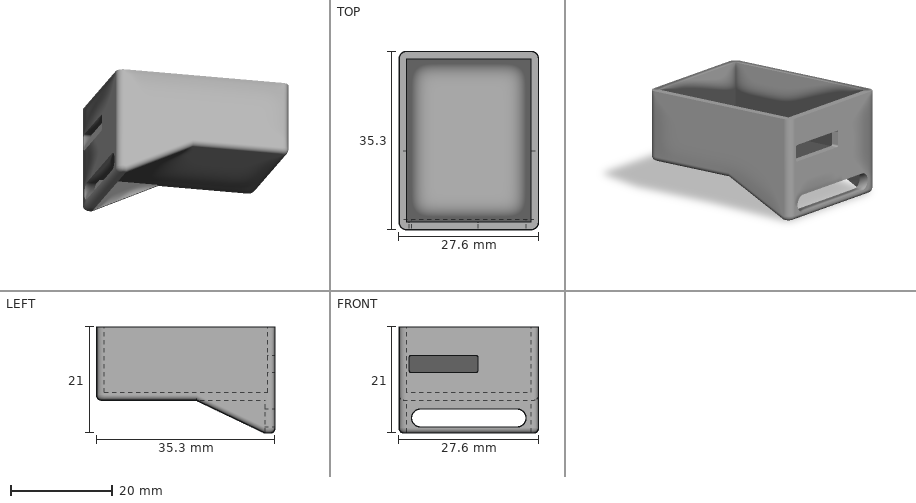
import cadquery as cq

width = 27.6
depth = 35.3
height = 21.0
corner_radius = 1.5
bottom_edge_radius = 1.0

foot_depth = 2.0
slope_end_y = 15.6
base_z = 6.5

wall = 1.5
floor_thickness = 1.5

window_width = 13.6
window_height = 3.4
window_left = 2.0
window_bottom = 12.0
window_corner_radius = 0.4

slot_width = 22.6
slot_height = 3.5
slot_center_z = 3.0

downward_limit = -0.1


def underside_rim(body):
    """Edges shared by one underside face and one upright face."""
    underside = [face for face in body.faces().vals() if face.normalAt().z < downward_limit]
    edges = [edge for face in underside for edge in face.Edges()]
    return [edge for edge in edges if sum(edge.isSame(other) for other in edges) == 1]


def make_body():
    """Side profile extruded across the width, with rounded corners and bottom rim."""
    body = (
        cq.Workplane("YZ")
        .moveTo(0, 0)
        .lineTo(foot_depth, 0)
        .lineTo(slope_end_y, base_z)
        .lineTo(depth, base_z)
        .lineTo(depth, height)
        .lineTo(0, height)
        .close()
        .extrude(width / 2, both=True)
    )
    body = body.edges("|Z").fillet(corner_radius)
    return body.newObject(underside_rim(body)).fillet(bottom_edge_radius)


def make_cavity():
    cavity_bottom = base_z + floor_thickness
    return (
        cq.Workplane("XY", origin=(0, depth / 2, cavity_bottom))
        .rect(width - 2 * wall, depth - 2 * wall)
        .extrude(height - cavity_bottom)
    )


def make_underside_hollow():
    """Wedge between the foot, the side cheeks and the raised base, open along the slope."""
    return (
        cq.Workplane("XY", origin=(0, (foot_depth + slope_end_y) / 2, 0))
        .rect(width - 2 * wall, slope_end_y - foot_depth)
        .extrude(base_z)
    )


def make_window():
    center_x = -width / 2 + window_left + window_width / 2
    center_z = window_bottom + window_height / 2
    return (
        cq.Workplane("XZ", origin=(center_x, 0, center_z))
        .rect(window_width, window_height)
        .extrude(-wall)
        .edges("|Y")
        .fillet(window_corner_radius)
    )


def make_slot():
    return (
        cq.Workplane("XZ", origin=(0, 0, slot_center_z))
        .slot2D(slot_width, slot_height)
        .extrude(-foot_depth)
    )


result = (
    make_body()
    .cut(make_cavity())
    .cut(make_underside_hollow())
    .cut(make_window())
    .cut(make_slot())
)